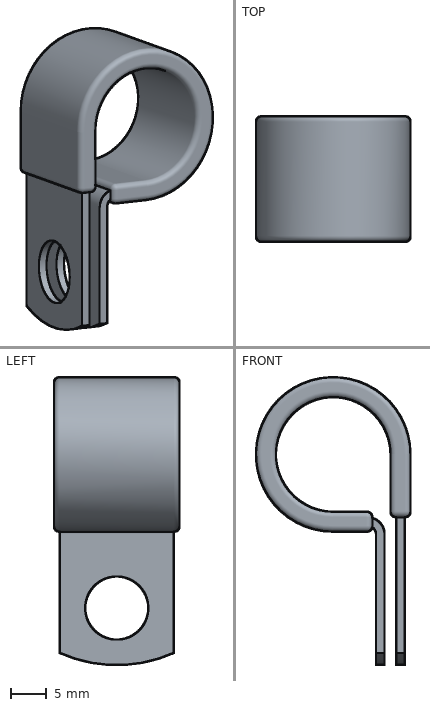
import cadquery as cq
import math


loop_bore_radius = 7.9375
strap_thickness = 1.22
strap_width = 15.875
cover = 0.79375
rim_radius = 0.775
lower_run_end_x = 5.44
leg_gap = 1.5875
bend_inner_radius = 1.12
hole_diameter = 8.73
hole_to_tip = strap_width / 2
tip_z = -29.265
tip_arc_height = 1.7

strap_inner_radius = loop_bore_radius + cover
strap_outer_radius = strap_inner_radius + strap_thickness
cushion_outer_radius = strap_outer_radius + cover
cushion_width = strap_width + 2 * cover
bend_outer_radius = bend_inner_radius + strap_thickness
short_leg_outer_x = strap_inner_radius - leg_gap
bend_center_x = short_leg_outer_x - bend_outer_radius
bend_center_z = -strap_inner_radius - bend_outer_radius
long_run_end_z = -loop_bore_radius - cover
hole_z = tip_z + hole_to_tip


def extrude_across(profile, width):
    """Extrude an XZ profile symmetrically along Y."""
    return profile.extrude(width / 2, both=True)


def point_on_arc(radius, angle_degrees, center_x=0, center_z=0):
    angle = math.radians(angle_degrees)
    return (center_x + radius * math.cos(angle), center_z + radius * math.sin(angle))


def make_cushion():
    """Three-quarter ring with a straight run at each end, rounded on its rims and end edges."""
    middle_angle = 135
    profile = (
        cq.Workplane("XZ")
        .moveTo(cushion_outer_radius, long_run_end_z)
        .lineTo(cushion_outer_radius, 0)
        .threePointArc(point_on_arc(cushion_outer_radius, middle_angle), (0, -cushion_outer_radius))
        .lineTo(lower_run_end_x, -cushion_outer_radius)
        .lineTo(lower_run_end_x, -loop_bore_radius)
        .lineTo(0, -loop_bore_radius)
        .threePointArc(point_on_arc(loop_bore_radius, middle_angle), (loop_bore_radius, 0))
        .lineTo(loop_bore_radius, long_run_end_z)
        .close()
    )
    body = extrude_across(profile, cushion_width)

    strap_middle_radius = (strap_inner_radius + strap_outer_radius) / 2
    lower_end = cq.selectors.NearestToPointSelector((lower_run_end_x, 0, -strap_middle_radius))
    long_end = cq.selectors.NearestToPointSelector((strap_middle_radius, 0, long_run_end_z))
    rims = body.faces("|Y").edges()
    end_edges = body.faces(lower_end).edges("|Y").add(body.faces(long_end).edges("|Y"))
    return rims.add(end_edges).fillet(rim_radius)


def make_strap():
    """Two legs and the bend that leads into the cushion; both stay joined inside it."""
    long_leg = extrude_across(
        cq.Workplane("XZ")
        .moveTo(strap_inner_radius, 0)
        .lineTo(strap_outer_radius, 0)
        .lineTo(strap_outer_radius, tip_z)
        .lineTo(strap_inner_radius, tip_z)
        .close(),
        strap_width,
    )
    bend_middle_angle = 45
    short_leg_inner_x = short_leg_outer_x - strap_thickness
    outer_middle = point_on_arc(bend_outer_radius, bend_middle_angle, bend_center_x, bend_center_z)
    inner_middle = point_on_arc(bend_inner_radius, bend_middle_angle, bend_center_x, bend_center_z)
    short_leg = extrude_across(
        cq.Workplane("XZ")
        .moveTo(0, -strap_inner_radius)
        .lineTo(bend_center_x, -strap_inner_radius)
        .threePointArc(outer_middle, (short_leg_outer_x, bend_center_z))
        .lineTo(short_leg_outer_x, tip_z)
        .lineTo(short_leg_inner_x, tip_z)
        .lineTo(short_leg_inner_x, bend_center_z)
        .threePointArc(inner_middle, (bend_center_x, -strap_outer_radius))
        .lineTo(0, -strap_outer_radius)
        .close(),
        strap_width,
    )
    return long_leg.union(short_leg)


def make_leg_envelope():
    """Side outline of the strap with rounded tips, extruded along X over both legs."""
    half_width = strap_width / 2
    corner_z = tip_z + tip_arc_height
    return (
        cq.Workplane("YZ")
        .moveTo(-half_width, 0)
        .lineTo(-half_width, corner_z)
        .threePointArc((0, tip_z), (half_width, corner_z))
        .lineTo(half_width, 0)
        .close()
        .extrude(strap_outer_radius)
    )


def make_bolt_hole():
    """Bolt hole along X through both legs."""
    return (
        cq.Workplane("YZ")
        .center(0, hole_z)
        .circle(hole_diameter / 2)
        .extrude(cushion_outer_radius)
    )


strap = make_strap().intersect(make_leg_envelope()).cut(make_bolt_hole())
result = make_cushion().union(strap)